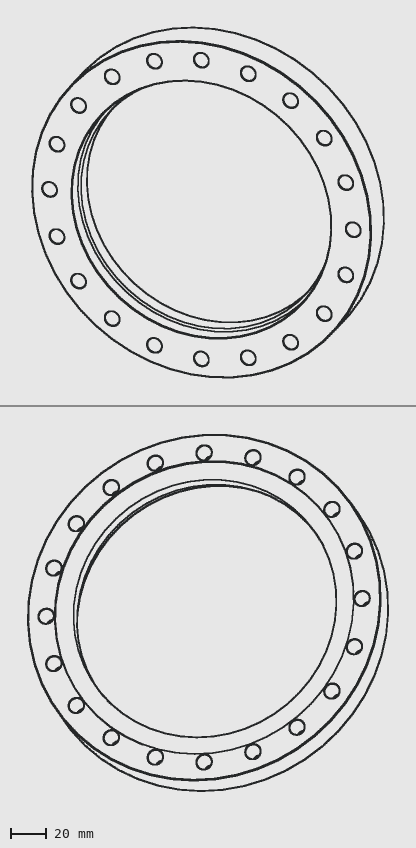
import cadquery as cq

outer_diameter = 202.4
thickness = 22.3
rim_chamfer = 0.5

bore_diameter = 150.6
socket_diameter = 154.4
socket_depth = 10.0
socket_edge_chamfer = 0.4

gasket_recess_diameter = 171.4
gasket_recess_depth = 2.2

bolt_count = 20
bolt_circle_diameter = 181.0
bolt_hole_diameter = 8.5
bolt_hole_chamfer = 0.3

weld_face_y = -thickness / 2
sealing_face_y = thickness / 2


def ring_body():
    """Revolve the half section, drawn as (y, radius), about the Y axis."""
    outer_radius = outer_diameter / 2
    bore_radius = bore_diameter / 2
    socket_radius = socket_diameter / 2
    gasket_radius = gasket_recess_diameter / 2
    socket_floor_y = weld_face_y + socket_depth
    gasket_floor_y = sealing_face_y - gasket_recess_depth
    section = (
        cq.Workplane("YZ")
        .moveTo(weld_face_y, socket_radius + socket_edge_chamfer)
        .lineTo(weld_face_y, outer_radius - rim_chamfer)
        .lineTo(weld_face_y + rim_chamfer, outer_radius)
        .lineTo(sealing_face_y - rim_chamfer, outer_radius)
        .lineTo(sealing_face_y, outer_radius - rim_chamfer)
        .lineTo(sealing_face_y, gasket_radius)
        .lineTo(gasket_floor_y, gasket_radius)
        .lineTo(gasket_floor_y, bore_radius)
        .lineTo(socket_floor_y, bore_radius)
        .lineTo(socket_floor_y, socket_radius)
        .lineTo(weld_face_y + socket_edge_chamfer, socket_radius)
        .close()
    )
    return section.revolve(360, (0, 0, 0), (1, 0, 0))


def bolt_hole_cutter():
    """Through hole along Y on the Y axis, widened by a chamfer at both faces."""
    hole_radius = bolt_hole_diameter / 2
    mouth_radius = hole_radius + bolt_hole_chamfer
    section = (
        cq.Workplane("YZ")
        .moveTo(weld_face_y, 0)
        .lineTo(weld_face_y, mouth_radius)
        .lineTo(weld_face_y + bolt_hole_chamfer, hole_radius)
        .lineTo(sealing_face_y - bolt_hole_chamfer, hole_radius)
        .lineTo(sealing_face_y, mouth_radius)
        .lineTo(sealing_face_y, 0)
        .close()
    )
    return section.revolve(360, (0, 0, 0), (1, 0, 0))


def cut_bolt_holes(body):
    """Cut the holes spaced evenly around the bolt circle."""
    top_cutter = bolt_hole_cutter().translate((0, 0, bolt_circle_diameter / 2))
    for index in range(bolt_count):
        angle = index * 360 / bolt_count
        body = body.cut(top_cutter.rotate((0, 0, 0), (0, 1, 0), angle))
    return body


result = cut_bolt_holes(ring_body())